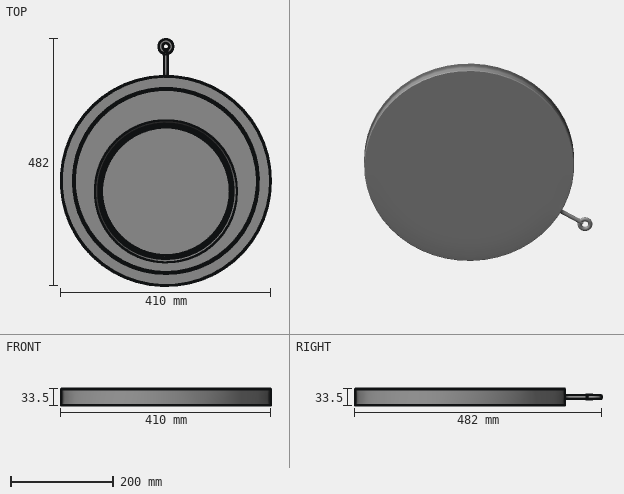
import cadquery as cq

overall_height = 33.5
body_diameter = 410.0
seal_rise = 0.5
rim_chamfer = 1.5
body_height = overall_height - seal_rise
body_radius = body_diameter / 2

flap_offset = -20.2
flap_top_radius = 125.0
flap_diameter = 258.0
flap_bevel_height = 7.0
groove_depth = 18.0
groove_mouth_radius = 139.0
groove_floor_radius = 132.0

seal_ring_radius = 180.0
seal_tube_radius = 3.5

overall_length = 482.0
eye_outer_radius = 14.5
eye_tube_radius = 4.1
rod_radius = 4.1
collar_radius = 4.6
collar_length = 10.5
collar_gap = 1.0
rod_depth_in_body = 14.5
eye_height = overall_height / 2
eye_ring_radius = eye_outer_radius - eye_tube_radius
eye_center_y = overall_length - body_radius - eye_outer_radius
rod_end_y = eye_center_y - eye_outer_radius - collar_gap


def body():
    disc = cq.Workplane("XY").circle(body_radius).extrude(body_height)
    return disc.edges("%CIRCLE").chamfer(rim_chamfer)


def flap_groove():
    """Ring between the bevelled, straight-sided flap and the sloping outer wall."""
    floor_z = body_height - groove_depth
    flap_radius = flap_diameter / 2
    profile = (
        cq.Workplane("XZ")
        .moveTo(flap_top_radius, body_height)
        .lineTo(flap_radius, body_height - flap_bevel_height)
        .lineTo(flap_radius, floor_z)
        .lineTo(groove_floor_radius, floor_z)
        .lineTo(groove_mouth_radius, body_height)
        .close()
    )
    ring = profile.revolve(360, (0, 0, 0), (0, 1, 0))
    return ring.translate((0, flap_offset, 0))


def torus(ring_radius, tube_radius):
    """Ring lying flat around the origin, with its seam on the -Y side."""
    ring = cq.Workplane(cq.Solid.makeTorus(ring_radius, tube_radius))
    return ring.rotate((0, 0, 0), (0, 0, 1), -90)


def seal():
    return torus(seal_ring_radius, seal_tube_radius).translate((0, 0, overall_height - seal_tube_radius))


def rod_along_y(radius, start_y, end_y):
    rod = cq.Workplane("XZ").circle(radius).extrude(start_y - end_y)
    return rod.translate((0, start_y, eye_height))


def eye_bolt():
    rod = rod_along_y(rod_radius, body_radius - rod_depth_in_body, rod_end_y)
    collar = rod_along_y(collar_radius, rod_end_y, rod_end_y + collar_length)
    eye = torus(eye_ring_radius, eye_tube_radius).translate((0, eye_center_y, eye_height))
    return rod.union(collar).union(eye)


result = body().cut(flap_groove()).union(seal()).union(eye_bolt())